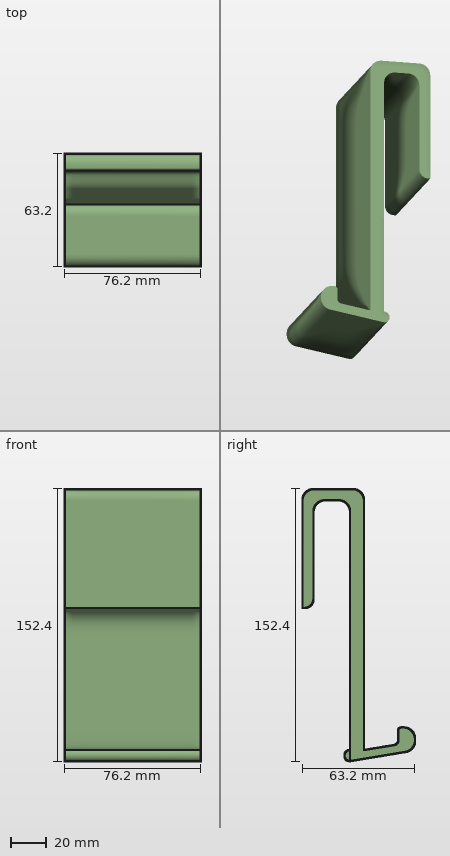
import cadquery as cq
import math

width = 76.2
height = 152.4
depth = 63.18

plate_thickness = 7.94
lip_thickness = 6.35
top_thickness = 6.35
lip_gap = 20.32
lip_drop = 66.675
outer_bend_radius = 6.35
inner_bend_radius = 6.35
lip_end_radius = 5.08

ledge_angle = math.radians(9.4)
ledge_thickness = 5.0
hook_thickness = 9.525
hook_top_z = 19.05
hook_crown_radius = 6.6
hook_heel_radius = 6.35
hook_tip_radius = 1.8
hook_root_radius = 2.54

bead_radius = 3.175

lip_inner_y = -lip_gap
lip_outer_y = lip_inner_y - lip_thickness
lip_end_z = height - lip_drop
top_inner_z = height - top_thickness

hook_outer_y = lip_outer_y + depth
hook_inner_y = hook_outer_y - hook_thickness


def ledge_bottom_z(y):
    return y * math.tan(ledge_angle)


def ledge_top_z(y):
    return ledge_bottom_z(y) + ledge_thickness / math.cos(ledge_angle)


def side_profile():
    """Workplane on the X = -width / 2 end, with local axes Y and Z."""
    return cq.Workplane("YZ").workplane(offset=-width / 2)


def round_edge(body, y, z, radius):
    """Fillet the one edge along X that passes through (y, z)."""
    edge = body.edges(cq.selectors.NearestToPointSelector((0, y, z)))
    return edge.fillet(radius)


def make_hanger():
    hanger = (
        side_profile()
        .moveTo(0, 0)
        .lineTo(hook_outer_y, ledge_bottom_z(hook_outer_y))
        .lineTo(hook_outer_y, hook_top_z)
        .lineTo(hook_inner_y, hook_top_z)
        .lineTo(hook_inner_y, ledge_top_z(hook_inner_y))
        .lineTo(plate_thickness, ledge_top_z(plate_thickness))
        .lineTo(plate_thickness, height)
        .lineTo(lip_outer_y, height)
        .lineTo(lip_outer_y, lip_end_z)
        .lineTo(lip_inner_y, lip_end_z)
        .lineTo(lip_inner_y, top_inner_z)
        .lineTo(0, top_inner_z)
        .close()
        .extrude(width)
    )
    rounded_corners = [
        (plate_thickness, height, outer_bend_radius),
        (lip_outer_y, height, outer_bend_radius),
        (lip_inner_y, top_inner_z, inner_bend_radius),
        (0, top_inner_z, inner_bend_radius),
        (lip_inner_y, lip_end_z, lip_end_radius),
        (hook_outer_y, ledge_bottom_z(hook_outer_y), hook_heel_radius),
        (hook_outer_y, hook_top_z, hook_crown_radius),
        (hook_inner_y, hook_top_z, hook_tip_radius),
        (hook_inner_y, ledge_top_z(hook_inner_y), hook_root_radius),
    ]
    for y, z, radius in rounded_corners:
        hanger = round_edge(hanger, y, z, radius)
    return hanger


def make_bead():
    """Half-round strip lying against the front face of the plate."""
    return (
        side_profile()
        .moveTo(0, 0)
        .threePointArc((-bead_radius, bead_radius), (0, 2 * bead_radius))
        .close()
        .extrude(width)
    )


hanger = make_hanger()
bead = make_bead()
result = cq.Compound.makeCompound([hanger.val(), bead.val()])